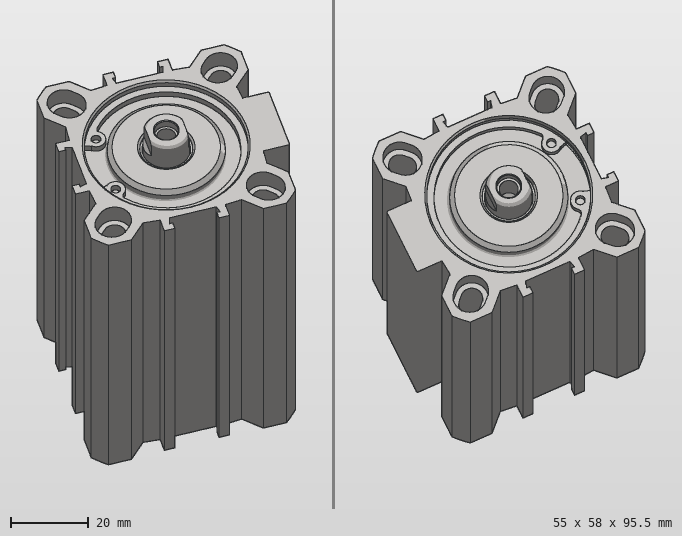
import cadquery as cq
import math

total_height = 95.5
housing_height = 89.5
square_half = 27.5

corner_diameter = 73.0
lug_flat_end = 17.8
corner_wall = 23.0
center_wall = 23.4
boss_half_width = 9.2
boss_outer = 30.5
boss_fillet = 0.5

rail_outer = 27.1
rail_side = 8.8
rail_root_inner = 6.3
rail_neck_inner = 6.8
hook_inner = 5.9
hook_length = 1.9

bolt_offset = 20.5
bolt_slot_stretch = 1.1
bolt_hole_diameter = 5.6
counterbore_diameter = 8.6
counterbore_depth = 5.4

seat_diameter = 42.2
seat_mouth_diameter = 43.3
cover_floor_z = housing_height - 3.8
cover_thickness = 15.3
cover_base_z = cover_floor_z - cover_thickness

boss_top_z = housing_height - 0.9
boss_diameter = 30.5
boss_top_diameter = 27.9
boss_chamfer_height = 1.05
boss_root_fillet = 0.7
wiper_diameter = 13.7
wiper_mouth_diameter = 14.8
wiper_depth = 0.9
clearance_diameter = 12.5
clearance_depth = 2.4

ring_outer_diameter = 44.7
ring_inner_diameter = 38.5
ring_thickness = 1.8
ring_gap_half_angle = 20.5
ear_diameter = 5.1
ear_hole_diameter = 2.5
ear_center_radius = 18.4
ear_angle = 28.1
ear_root_fillet = 1.1

rod_diameter = 12.0
rod_top_fillet = 1.2
flat_width = 10.0
flat_bottom_z = housing_height + 1.3
tapped_hole_diameter = 4.9
tapped_hole_counterbore = 6.2
tapped_hole_counterbore_depth = 2.4
tapped_hole_mouth = 6.7
tapped_hole_depth = 11.5
drill_tip_angle = 118


def disc(diameter, bottom_z, top_z):
    return cq.Workplane("XY", origin=(0, 0, bottom_z)).circle(diameter / 2).extrude(top_z - bottom_z)


def turned(points):
    """A solid turned about Z from its half section, given as (radius, z) points."""
    return cq.Workplane("XZ").polyline(points).close().revolve(360, (0, 0), (0, 1))


def corner_slots(diameter, bottom_z):
    """Four slots, open at the housing top, lengthened along the diagonals."""
    depth = housing_height - bottom_z
    slots = cq.Workplane("XY")
    for angle in (45, 135, 225, 315):
        slot = (
            cq.Workplane("XY", origin=(0, 0, bottom_z))
            .center(bolt_offset * math.sqrt(2), 0)
            .slot2D(diameter + bolt_slot_stretch * math.sqrt(2), diameter)
            .extrude(depth)
            .rotate((0, 0, 0), (0, 0, 1), angle)
        )
        slots = slots.add(slot)
    return slots.combine()


def wall_profile():
    """Half of the +Y wall, from its flat middle part to its lug corner."""
    lug_depth = square_half - corner_wall
    return [
        (rail_side, center_wall),
        (lug_flat_end - lug_depth, corner_wall),
        (lug_flat_end, square_half),
        (square_half, square_half),
    ]


def housing_walls():
    """Four equal walls with lugs at the corners, turned round on the outside."""
    half = wall_profile()
    wall = half[::-1] + [(-x, y) for x, y in half[:-1]]
    points = []
    for turn in range(4):
        for x, y in wall:
            for _ in range(turn):
                x, y = -y, x
            points.append((x, y))
    outline = cq.Workplane("XY").polyline(points).close().extrude(housing_height)
    return outline.intersect(disc(corner_diameter, 0, housing_height))


def rail():
    """A hooked rail on the -Y wall at -X, with its hook turned towards the middle."""
    hook_root = rail_outer - hook_length
    points = [
        (-rail_side, -corner_wall),
        (-rail_side, -rail_outer),
        (-hook_inner, -rail_outer),
        (-hook_inner, -hook_root),
        (-rail_neck_inner, -hook_root),
        (-rail_root_inner, -center_wall),
        (-rail_root_inner, -corner_wall),
    ]
    return cq.Workplane("XY").polyline(points).close().extrude(housing_height)


def make_housing():
    body = housing_walls()

    boss = (
        cq.Workplane("XY")
        .center(0, boss_outer / 2)
        .rect(2 * boss_half_width, boss_outer)
        .extrude(housing_height)
        .edges("|Z and >Y")
        .fillet(boss_fillet)
    )
    body = body.union(boss)

    for angle in (-90, 0, 90):
        for hooked in (rail(), rail().mirror("YZ")):
            body = body.union(hooked.rotate((0, 0, 0), (0, 0, 1), angle))

    body = body.cut(corner_slots(bolt_hole_diameter, 0))
    counterbore_floor = housing_height - counterbore_depth
    body = body.cut(corner_slots(counterbore_diameter, counterbore_floor))

    seat_radius = seat_diameter / 2
    mouth_radius = seat_mouth_diameter / 2
    seat = turned(
        [
            (0, cover_base_z),
            (seat_radius, cover_base_z),
            (seat_radius, housing_height - (mouth_radius - seat_radius)),
            (mouth_radius, housing_height),
            (0, housing_height),
        ]
    )
    ring_groove = disc(ring_outer_diameter, cover_floor_z, cover_floor_z + ring_thickness)
    return body.cut(seat).cut(ring_groove)


def make_cover():
    seat_radius = seat_diameter / 2
    boss_radius = boss_diameter / 2
    boss_top_radius = boss_top_diameter / 2
    wiper_radius = wiper_diameter / 2
    wiper_mouth_radius = wiper_mouth_diameter / 2
    clearance_radius = clearance_diameter / 2
    rod_radius = rod_diameter / 2
    wiper_floor_z = boss_top_z - wiper_depth
    clearance_floor_z = boss_top_z - clearance_depth
    fillet_middle = boss_root_fillet * (1 - math.sqrt(0.5))
    section = (
        cq.Workplane("XZ")
        .moveTo(rod_radius, cover_base_z)
        .lineTo(seat_radius, cover_base_z)
        .lineTo(seat_radius, cover_floor_z)
        .lineTo(boss_radius + boss_root_fillet, cover_floor_z)
        .threePointArc(
            (boss_radius + fillet_middle, cover_floor_z + fillet_middle),
            (boss_radius, cover_floor_z + boss_root_fillet),
        )
        .lineTo(boss_radius, boss_top_z - boss_chamfer_height)
        .lineTo(boss_top_radius, boss_top_z)
        .lineTo(wiper_mouth_radius, boss_top_z)
        .lineTo(wiper_radius, boss_top_z - (wiper_mouth_radius - wiper_radius))
        .lineTo(wiper_radius, wiper_floor_z)
        .lineTo(clearance_radius, wiper_floor_z)
        .lineTo(clearance_radius, clearance_floor_z)
        .lineTo(rod_radius, clearance_floor_z)
        .close()
    )
    return section.revolve(360, (0, 0), (0, 1))


def make_retaining_ring():
    top_z = cover_floor_z + ring_thickness
    ring = disc(ring_outer_diameter, cover_floor_z, top_z)
    ring = ring.cut(disc(ring_inner_diameter, cover_floor_z, top_z))

    gap_angle = math.radians(ring_gap_half_angle)
    reach = ring_outer_diameter
    gap_x = reach * math.sin(gap_angle)
    gap_y = -reach * math.cos(gap_angle)
    gap = (
        cq.Workplane("XY", origin=(0, 0, cover_floor_z))
        .polyline([(0, 0), (gap_x, gap_y), (-gap_x, gap_y)])
        .close()
        .extrude(ring_thickness)
    )
    ring = ring.cut(gap)

    ear_radius = ear_diameter / 2
    ear_x = ear_center_radius * math.sin(math.radians(ear_angle))
    ear_y = -ear_center_radius * math.cos(math.radians(ear_angle))
    ear_points = [(-ear_x, ear_y), (ear_x, ear_y)]
    ears = cq.Workplane("XY", origin=(0, 0, cover_floor_z)).pushPoints(ear_points)
    ring = ring.union(ears.circle(ear_radius).extrude(ring_thickness))

    inner_radius = ring_inner_diameter / 2
    sides = inner_radius**2 + ear_center_radius**2 - ear_radius**2
    root_offset = math.acos(sides / (2 * inner_radius * ear_center_radius))
    root_angle = math.radians(ear_angle) + root_offset
    root_x = inner_radius * math.sin(root_angle)
    root_y = -inner_radius * math.cos(root_angle)
    middle_z = cover_floor_z + ring_thickness / 2
    for x in (-root_x, root_x):
        root = cq.selectors.NearestToPointSelector((x, root_y, middle_z))
        ring = ring.edges(root).fillet(ear_root_fillet)

    return ring.cut(ears.circle(ear_hole_diameter / 2).extrude(ring_thickness))


def flat_cutter():
    """Cutter for the +Y wrench flat; its lower end runs out at 45 degrees."""
    flat_y = flat_width / 2
    outside_y = rod_diameter
    points = [
        (flat_y, flat_bottom_z),
        (flat_y, total_height),
        (outside_y, total_height),
        (outside_y, flat_bottom_z - (outside_y - flat_y)),
    ]
    return cq.Workplane("YZ").polyline(points).close().extrude(rod_diameter, both=True)


def tapped_hole():
    """The hole in the rod end, with a chamfered counterbore and a drill point."""
    radius = tapped_hole_diameter / 2
    counterbore_radius = tapped_hole_counterbore / 2
    mouth_radius = tapped_hole_mouth / 2
    ledge_z = total_height - tapped_hole_counterbore_depth
    floor_z = total_height - tapped_hole_depth
    tip_z = floor_z - radius / math.tan(math.radians(drill_tip_angle / 2))
    points = [
        (0, total_height),
        (mouth_radius, total_height),
        (counterbore_radius, total_height - (mouth_radius - counterbore_radius)),
        (counterbore_radius, ledge_z),
        (radius, ledge_z),
        (radius, floor_z),
        (0, tip_z),
    ]
    return turned(points)


def make_rod():
    rod = disc(rod_diameter, cover_base_z, total_height)
    rod = rod.faces(">Z").edges().fillet(rod_top_fillet)
    rod = rod.cut(flat_cutter()).cut(flat_cutter().mirror("XZ"))
    return rod.cut(tapped_hole())


housing = make_housing()
cover = make_cover()
retaining_ring = make_retaining_ring()
rod = make_rod()

result = cq.Compound.makeCompound(
    [
        housing.solids().val(),
        cover.solids().val(),
        retaining_ring.solids().val(),
        rod.solids().val(),
    ]
)